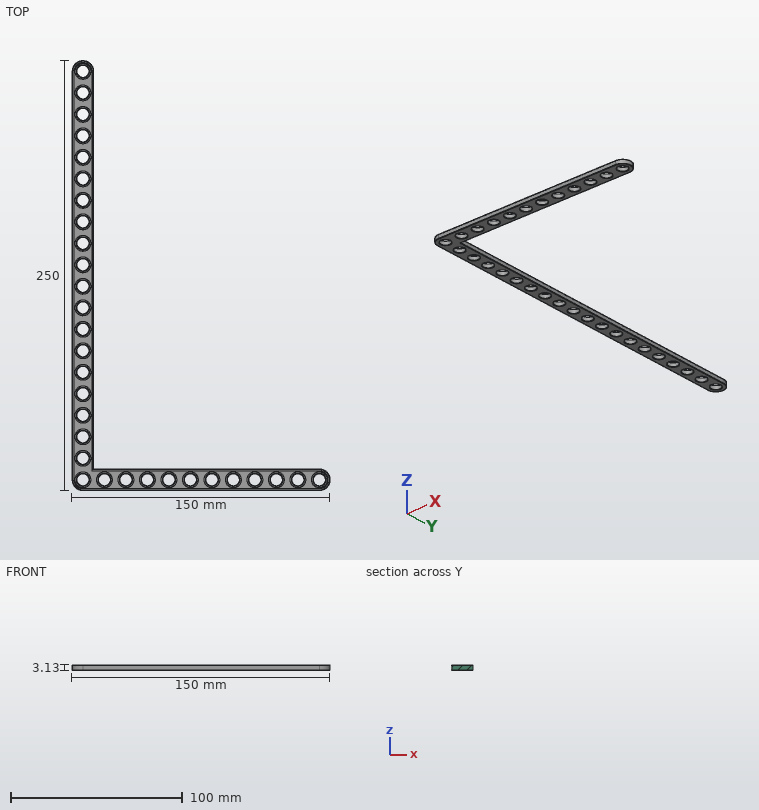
import cadquery as cq

pitch = 12.5
long_count = 20
short_count = 12
hole_diameter = 7.0
rim_width = 1.1
recess_depth = 0.2
edge_chamfer = 0.3

width = pitch
thickness = pitch / 4
ring_diameter = hole_diameter + 2 * rim_width
long_reach = (long_count - 1) * pitch
short_reach = (short_count - 1) * pitch

hole_points = [(0, i * pitch) for i in range(long_count)]
hole_points += [(i * pitch, 0) for i in range(1, short_count)]


def angle_bar(bar_width, height):
    """L of two round-ended bars that share the rounded corner at the origin."""
    short_arm = cq.Workplane("XY").center(short_reach / 2, 0).slot2D(short_reach + bar_width, bar_width)
    long_arm = cq.Workplane("XY").center(0, long_reach / 2).slot2D(long_reach + bar_width, bar_width, 90)
    return short_arm.extrude(height).union(long_arm.extrude(height))


def discs(diameter, height):
    """One disc at every hole centre."""
    return cq.Workplane("XY").pushPoints(hole_points).circle(diameter / 2).extrude(height)


plate = angle_bar(width, thickness).cut(discs(hole_diameter, thickness))
plate = plate.faces("<Z or >Z").edges().chamfer(edge_chamfer)

recess = angle_bar(width - 2 * rim_width, recess_depth).cut(discs(ring_diameter, recess_depth))
result = plate.cut(recess.translate((0, 0, thickness - recess_depth)))